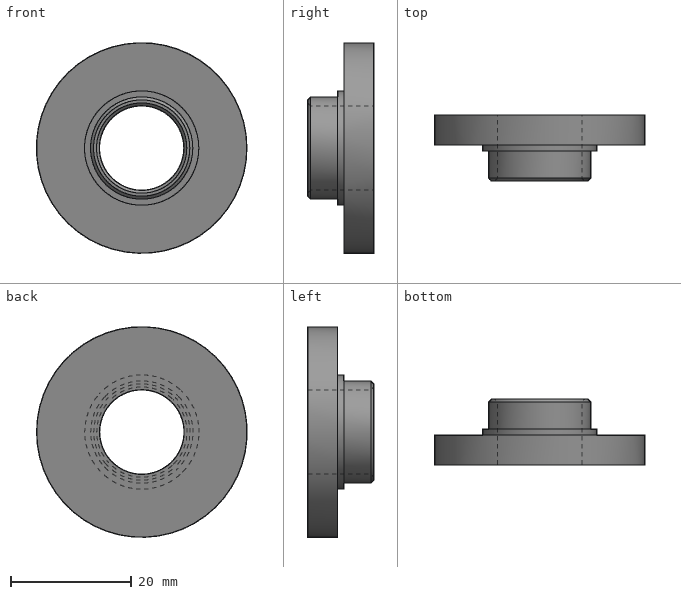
import cadquery as cq

flange_diameter = 35.0
flange_thickness = 5.0
shoulder_diameter = 19.0
shoulder_height = 1.0
sleeve_diameter = 17.0
sleeve_length = 5.0
bore_diameter = 14.0
rim_chamfer = 0.5

sleeve_start = flange_thickness + shoulder_height
total_length = sleeve_start + sleeve_length


def disc(diameter, start, length):
    """Cylinder toward -Y on the part axis; start is its distance from the flange back."""
    return cq.Workplane("XZ").workplane(offset=start).circle(diameter / 2).extrude(length)


flange = disc(flange_diameter, 0, flange_thickness)
shoulder = disc(shoulder_diameter, flange_thickness, shoulder_height)
sleeve = disc(sleeve_diameter, sleeve_start, sleeve_length)
bore = disc(bore_diameter, 0, total_length)

bushing = flange.union(shoulder).union(sleeve).cut(bore)

result = bushing.faces("<Y").edges().chamfer(rim_chamfer)